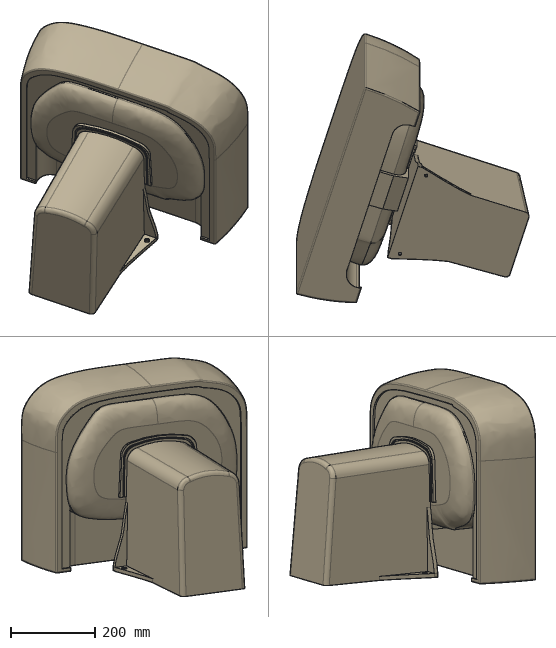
import cadquery as cq
import math


housing_half_width = 275.5
housing_height = 450.5
housing_reach = 144.0
side_draft = 21.0
top_draft = 21.0
draft_bow = 5.0
shoulder_height = 297.5
crown_exponent = 3.5
edge_round = 3.5

rim_width = 15.5
panel_depth = 4.5
sill_height = 9.5

niche_half_width = 216.0
niche_depth = 46.0
niche_height = 171.0
niche_corner = 34.5

dome_half_width = 225.5
dome_top = 399.5
dome_bottom = 113.0
dome_reach = 175.5
dome_inset = 55.0

neck_half_width = 44.0
neck_bottom = 101.0
neck_rise = 14.0
neck_top = 248.0

cover_back = 180.0
cover_reach = 470.5
cover_height = 303.5
cover_drop = 12.5
cover_foot_half_width = 91.0
cover_taper = 5.0
cover_lean = 5.0
front_lean = 25.5
cover_round = 11.0

collar_back = 173.5
collar_front = 183.0
collar_margin = 14.0
collar_bottom = 178.0
collar_groove_width = 3.0
collar_groove_depth = 3.0

flange_half_width = 122.0
flange_thickness = 10.0
foot_flange_end = 374.5
back_flange_top = 182.0
flange_root_half_width = 82.5
hole_x = 104.5
hole_reach = 205.5
hole_diameter = 6.5
counterbore_diameter = 12.0
counterbore_depth = 3.5


def plane_at(reach):
    """Plane parallel to XZ, at a distance forward of the back; its normal is -Y."""
    return cq.Workplane("XZ", origin=(0, -reach, 0))


def mirrored(points):
    """The points reflected in the YZ plane, in reverse order."""
    return [(-x, z) for x, z in reversed(points)]


def loft_wires(wires):
    return cq.Workplane(obj=cq.Solid.makeLoft(wires))


def housing_outline(reach, half_width, height, foot=0.0):
    """Straight sides running into a crown shaped as the upper half of a superellipse."""
    rise = height - shoulder_height
    power = 2 / crown_exponent
    right_curve = []
    for angle in (22, 45, 68):
        turn = math.radians(angle)
        x = half_width * math.cos(turn) ** power
        right_curve.append((x, shoulder_height + rise * math.sin(turn) ** power))
    left_curve = mirrored(right_curve) + [(-half_width, shoulder_height)]
    return (
        plane_at(reach)
        .moveTo(-half_width, foot)
        .lineTo(half_width, foot)
        .lineTo(half_width, shoulder_height)
        .spline(right_curve + [(0, height)], tangents=[(0, 1), (-1, 0)], includeCurrent=True)
        .spline(left_curve, tangents=[(-1, 0), (0, -1)], includeCurrent=True)
        .close()
    )


def make_housing():
    wires = []
    for depth_ratio in (0, 0.5, 1):
        bow = draft_bow * 4 * depth_ratio * (1 - depth_ratio)
        outline = housing_outline(
            depth_ratio * housing_reach,
            housing_half_width - side_draft * depth_ratio + bow,
            housing_height - top_draft * depth_ratio + bow,
        )
        wires.append(outline.val())
    body = loft_wires(wires)
    return body.faces(">Y or <Y or <Z").edges().fillet(edge_round)


def make_panel_recess():
    return housing_outline(
        housing_reach - panel_depth,
        housing_half_width - side_draft - rim_width,
        housing_height - top_draft - rim_width,
        sill_height,
    ).extrude(panel_depth)


def make_niche():
    niche = (
        plane_at(housing_reach - niche_depth)
        .rect(2 * niche_half_width, 2 * niche_height)
        .extrude(niche_depth)
    )
    return niche.edges("|Z and >Y").fillet(niche_corner)


def dome_outline(reach, inset):
    """Rounded D-like outline, drawn in towards its centre by the inset."""
    half_height = (dome_top - dome_bottom) / 2
    center_z = dome_bottom + half_height
    x_scale = 1 - inset / dome_half_width
    z_scale = 1 - inset / half_height
    right_side = [
        (161.5, 371.0),
        (216.5, 285.0),
        (dome_half_width, 204.0),
        (208.0, 146.5),
        (151.5, 121.0),
    ]

    def drawn_in(points):
        return [(x * x_scale, center_z + (z - center_z) * z_scale) for x, z in points]

    top, bottom = drawn_in([(0, dome_top), (0, dome_bottom)])
    right_curve = drawn_in(right_side)
    return (
        plane_at(reach)
        .moveTo(*top)
        .spline(right_curve + [bottom], tangents=[(1, 0), (-1, 0)], includeCurrent=True)
        .spline(mirrored(right_curve) + [top], tangents=[(-1, 0), (1, 0)], includeCurrent=True)
        .close()
    )


def make_dome():
    base_back = housing_reach - niche_depth - 5.5
    base = dome_outline(base_back, 0).extrude(housing_reach - base_back)
    wires = []
    for angle in (0, 30, 60, 90):
        turn = math.radians(angle)
        reach = housing_reach + (dome_reach - housing_reach) * math.sin(turn)
        wires.append(dome_outline(reach, dome_inset * (1 - math.cos(turn))).val())
    return base.union(loft_wires(wires))


def make_neck():
    back = housing_reach - niche_depth
    return (
        cq.Workplane("YZ", origin=(-neck_half_width, 0, 0))
        .moveTo(-back, neck_bottom)
        .lineTo(-housing_reach, neck_bottom)
        .lineTo(-cover_back, neck_bottom + neck_rise)
        .lineTo(-cover_back, neck_top)
        .lineTo(-back, neck_top)
        .close()
        .extrude(2 * neck_half_width)
    )


def cover_outline(reach, half_width, height, foot=0.0):
    """Leaning sides, rounded upper corners and a gently arched roof."""
    eave_half_width = half_width - cover_lean
    eave = height - 36.5
    roof_half_width = half_width - 32.5
    roof_edge = height - 8.0
    bend = (eave_half_width - 7.0, height - 20.0)
    return (
        plane_at(reach)
        .moveTo(-half_width, foot)
        .lineTo(half_width, foot)
        .lineTo(eave_half_width, eave)
        .threePointArc(bend, (roof_half_width, roof_edge))
        .threePointArc((0, height), (-roof_half_width, roof_edge))
        .threePointArc((-bend[0], bend[1]), (-eave_half_width, eave))
        .close()
    )


def make_cover():
    back = cover_outline(cover_back, cover_foot_half_width, cover_height)
    front = cover_outline(
        cover_reach, cover_foot_half_width - cover_taper, cover_height - cover_drop
    )
    body = cq.Workplane(obj=cq.Solid.makeLoft([back.val(), front.val()], True))
    leaning_front = (
        cq.Workplane("YZ", origin=(-housing_half_width, 0, 0))
        .moveTo(-cover_reach, 0)
        .lineTo(-cover_reach + front_lean, cover_height)
        .lineTo(-cover_reach, cover_height)
        .close()
        .extrude(2 * housing_half_width)
    )
    body = body.cut(leaning_front)
    rim = body.faces("<Y").edges().edges("not <Z")
    return rim.fillet(cover_round)


def make_collar():
    """Arched band with a groove along the middle of its front."""
    def band(reach, margin, foot):
        return cover_outline(reach, cover_foot_half_width + margin, cover_height + margin, foot)

    depth = collar_front - collar_back
    collar = band(collar_back, collar_margin, collar_bottom).extrude(depth)
    middle = collar_margin / 2
    groove_start = collar_front - collar_groove_depth
    groove_outer = band(groove_start, middle + collar_groove_width / 2, 0).extrude(depth)
    groove_inner = band(groove_start, middle - collar_groove_width / 2, 0).extrude(depth)
    return collar.cut(groove_outer.cut(groove_inner))


def make_foot_flange():
    """Foot plate, waisting in along each side of the cover."""
    half_width = flange_half_width
    root = flange_root_half_width
    right_edge = [(103.0, -258.0), (90.5, -311.0), (root, -foot_flange_end)]
    left_edge = mirrored([(half_width, -cover_back - flange_thickness)] + right_edge[:-1])
    return (
        cq.Workplane("XY")
        .moveTo(-half_width, -cover_back)
        .lineTo(half_width, -cover_back)
        .lineTo(half_width, -cover_back - flange_thickness)
        .spline(right_edge, includeCurrent=True)
        .lineTo(-root, -foot_flange_end)
        .spline(left_edge, includeCurrent=True)
        .close()
        .extrude(flange_thickness)
    )


def make_back_flange():
    """Upright plate behind the cover, waisting in as it rises."""
    half_width = flange_half_width
    root = flange_root_half_width
    right_edge = [(114.5, 41.5), (100.0, 87.0), (93.0, 135.0), (root, back_flange_top)]
    left_edge = mirrored([(half_width, flange_thickness)] + right_edge[:-1])
    return (
        plane_at(cover_back)
        .moveTo(-half_width, 0)
        .lineTo(half_width, 0)
        .lineTo(half_width, flange_thickness)
        .spline(right_edge, includeCurrent=True)
        .lineTo(-root, back_flange_top)
        .spline(left_edge, includeCurrent=True)
        .close()
        .extrude(flange_thickness)
    )


housing = make_housing().cut(make_panel_recess()).cut(make_niche())
cover = make_cover().union(make_foot_flange()).union(make_back_flange())
result = housing.union(make_dome()).union(make_neck()).union(cover).union(make_collar())
result = (
    result.copyWorkplane(cq.Workplane("XY", origin=(0, 0, flange_thickness)))
    .pushPoints([(-hole_x, -hole_reach), (hole_x, -hole_reach)])
    .cboreHole(hole_diameter, counterbore_diameter, counterbore_depth)
)